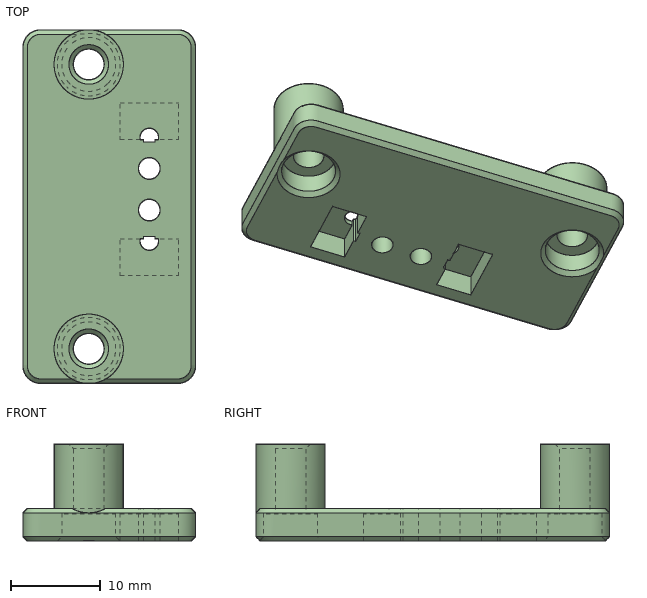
import cadquery as cq

PLATE_WIDTH = 19.22
PLATE_LENGTH = 39.31
PLATE_THICKNESS = 3.65
CORNER_RADIUS = 2.0
EDGE_CHAMFER = 0.5

TOTAL_HEIGHT = 10.79
POST_DIAMETER = 7.71
POST_X = -2.28
POST_Y = (PLATE_LENGTH - POST_DIAMETER) / 2
SCREW_HOLE_DIAMETER = 3.4
SCREW_HEAD_DIAMETER = 6.0
SCREW_HEAD_DEPTH = 3.0
BORE_CHAMFER = 0.5

ROW_X = 4.45
ROW_Y = 1.93
ROUND_HOLE_DIAMETER = 2.38
ROUND_HOLE_PITCH = 4.62
END_OPENING_DIAMETER = 2.04
END_OPENING_PITCH = 11.5

ISLAND_LENGTH = 11.04
NOTCH_WIDTH = 1.26
NOTCH_DEPTH = 0.26

RECESS_WIDTH = 6.5
RECESS_LENGTH = 19.2
RECESS_ROOF = 0.65


def make_plate():
    plate = cq.Workplane("XY").box(
        PLATE_WIDTH, PLATE_LENGTH, PLATE_THICKNESS, centered=(True, True, False)
    )
    return plate.edges("|Z").fillet(CORNER_RADIUS).faces("<Z or >Z").chamfer(EDGE_CHAMFER)


def make_posts():
    """Two posts that start above the lower chamfer of the plate."""
    return (
        cq.Workplane("XY", origin=(POST_X, 0, EDGE_CHAMFER))
        .pushPoints([(0, -POST_Y), (0, POST_Y)])
        .circle(POST_DIAMETER / 2)
        .extrude(TOTAL_HEIGHT - EDGE_CHAMFER)
    )


def make_screw_bore(y):
    """Stepped bore with a chamfered mouth at each end, as a revolved profile."""
    hole_radius = SCREW_HOLE_DIAMETER / 2
    head_radius = SCREW_HEAD_DIAMETER / 2
    profile = [
        (0, 0),
        (head_radius + BORE_CHAMFER, 0),
        (head_radius, BORE_CHAMFER),
        (head_radius, SCREW_HEAD_DEPTH),
        (hole_radius, SCREW_HEAD_DEPTH),
        (hole_radius, TOTAL_HEIGHT - BORE_CHAMFER),
        (hole_radius + BORE_CHAMFER, TOTAL_HEIGHT),
        (0, TOTAL_HEIGHT),
    ]
    bore = cq.Workplane("XZ").polyline(profile).close().revolve(360, (0, 0), (0, 1))
    return bore.translate((POST_X, y, 0))


def make_round_holes():
    half_pitch = ROUND_HOLE_PITCH / 2
    return (
        cq.Workplane("XY", origin=(ROW_X, ROW_Y, 0))
        .pushPoints([(0, -half_pitch), (0, half_pitch)])
        .circle(ROUND_HOLE_DIAMETER / 2)
        .extrude(PLATE_THICKNESS)
    )


def box_on_row(width, length, height):
    """Box standing on Z = 0, centred on the row of openings."""
    box = cq.Workplane("XY").box(width, length, height, centered=(True, True, False))
    return box.translate((ROW_X, ROW_Y, 0))


def make_recess_and_end_openings():
    """Underside recess and its two roof openings, less the notched island."""
    recess = box_on_row(RECESS_WIDTH, RECESS_LENGTH, PLATE_THICKNESS - RECESS_ROOF)
    half_pitch = END_OPENING_PITCH / 2
    openings = (
        cq.Workplane("XY", origin=(ROW_X, ROW_Y, 0))
        .pushPoints([(0, -half_pitch), (0, half_pitch)])
        .circle(END_OPENING_DIAMETER / 2)
        .extrude(PLATE_THICKNESS)
    )
    island = box_on_row(RECESS_WIDTH, ISLAND_LENGTH, PLATE_THICKNESS)
    core_length = ISLAND_LENGTH - 2 * NOTCH_DEPTH
    core = box_on_row(NOTCH_WIDTH, core_length, PLATE_THICKNESS)
    notches = box_on_row(NOTCH_WIDTH, ISLAND_LENGTH, PLATE_THICKNESS).cut(core)
    return recess.union(openings).cut(island).union(notches)


result = make_plate().union(make_posts())
for post_side in (-1, 1):
    result = result.cut(make_screw_bore(post_side * POST_Y))
result = result.cut(make_round_holes()).cut(make_recess_and_end_openings())